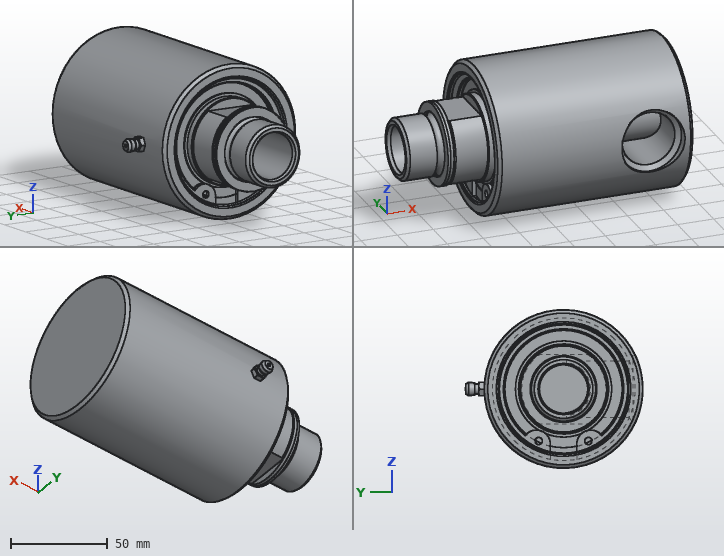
import cadquery as cq
import math

total_length = 149.4
housing_radius = 82.0 / 2
housing_start = 41.2
housing_chamfer = 1.8

thread_radius = 33.3 / 2
thread_chamfer = 1.5
thread_end = 16.5
thread_end_chamfer = 0.9
relief_radius = 15.1
relief_flare = 1.8

washer_start = 20.3
washer_end = 21.8
washer_radius = 44.5 / 2
washer_bore_radius = 34.5 / 2
shaft_radius = 44.7 / 2
flange_end = 23.8
undercut_radius = 21.8
undercut_length = 0.9
wrench_flat_width = 35.9

collar_start = 42.3
collar_radius = 23.3
collar_chamfer = 0.5

recess_mouth_radius = 34.8
recess_mouth_bevel = 0.5
recess_ledge_radius = 33.9
recess_lip_start = 42.1
recess_lip_end = 43.0
recess_lip_radius = 33.2
ring_groove_radius = 73.8 / 2
seal_face = 47.5
seal_outer_radius = 60.7 / 2
seal_lip_radius = 49.8 / 2
seal_lip_face = 46.6

ring_front = 45.1
ring_back = 47.2
ring_inner_radius = 61.1 / 2
ring_bevel = 0.6
lug_radius = 7.2
lug_offset = 14.0
lug_drop = 28.4
lug_hole_diameter = 3.7
lug_hole_offset = 12.8
lug_hole_drop = 26.9

inlet_diameter = 25.0
inlet_chamfer = 0.7
inlet_chamfer_length = 2.0
inlet_depth = 104.6
core_diameter = 27.6
port_x = 127.0
port_mouth_diameter = 35.0
port_diameter = 29.3
port_floor_y = -1.5
port_seat_y = -35.9
port_seat_depth = 2.1

nipple_x = 63.2
nipple_hex_width = 7.2
nipple_hex_top = 43.8
nipple_height = 9.9
nipple_tip = housing_radius + nipple_height
nipple_root = 37.4
nipple_stem_radius = 5.2 / 2
nipple_neck_top = 46.0
nipple_head_base_radius = 3.1
nipple_head_radius = 7.0 / 2
nipple_head_bulge_radius = 3.5
nipple_head_middle = 47.7
nipple_head_high = 49.0
nipple_ball_radius = 3.0 / 2
nipple_ball_height = 0.3
nipple_hex_chamfer = 0.5


def tube(start, end, outer_radius, inner_radius=0):
    """Cylinder or tube along X between two stations."""
    section = cq.Workplane("YZ", origin=(start, 0, 0)).circle(outer_radius)
    if inner_radius:
        section = section.circle(inner_radius)
    return section.extrude(end - start)


def make_housing():
    housing = tube(housing_start, total_length, housing_radius).faces("<X or >X").chamfer(housing_chamfer)
    recess = (
        cq.Workplane("XY")
        .moveTo(housing_start, 0)
        .lineTo(housing_start, recess_mouth_radius)
        .lineTo(housing_start + recess_mouth_bevel, recess_ledge_radius)
        .lineTo(recess_lip_start, recess_ledge_radius)
        .lineTo(recess_lip_end, recess_lip_radius)
        .lineTo(recess_lip_end, ring_groove_radius)
        .lineTo(ring_back, ring_groove_radius)
        .lineTo(ring_back, seal_outer_radius)
        .lineTo(seal_face, seal_outer_radius)
        .lineTo(seal_face, seal_lip_radius)
        .lineTo(seal_lip_face, seal_lip_radius)
        .lineTo(seal_lip_face, 0)
        .close()
        .revolve(360, (0, 0, 0), (1, 0, 0))
    )
    return housing.cut(recess)


def make_retaining_ring():
    thickness = ring_back - ring_front
    ring = tube(ring_front, ring_back, ring_groove_radius, ring_inner_radius)
    ring = ring.faces("<X").edges("%CIRCLE").edges(cq.selectors.RadiusNthSelector(0)).chamfer(ring_bevel)
    gap_half_width = lug_offset - lug_radius
    gap = cq.Workplane("XY").box(thickness, 2 * gap_half_width, housing_radius, centered=(False, True, False))
    ring = ring.cut(gap.translate((ring_front, 0, -housing_radius)))

    envelope = tube(ring_front, ring_back, ring_groove_radius)
    for side in (-1, 1):
        lug = (
            cq.Workplane("YZ", origin=(ring_front, side * lug_offset, -lug_drop))
            .circle(lug_radius)
            .extrude(thickness)
        )
        root = (
            cq.Workplane("YZ", origin=(ring_front, side * lug_offset, -lug_drop - lug_radius / 2))
            .rect(2 * lug_radius, lug_radius)
            .extrude(thickness)
        )
        ring = ring.union(lug.union(root).intersect(envelope))
        hole = (
            cq.Workplane("YZ", origin=(ring_front, side * lug_hole_offset, -lug_hole_drop))
            .circle(lug_hole_diameter / 2)
            .extrude(thickness)
        )
        ring = ring.cut(hole)
    return ring


def make_shaft():
    relief_start = thread_end + thread_end_chamfer
    relief_middle = (relief_start + washer_end) / 2
    shaft = (
        cq.Workplane("XY")
        .lineTo(0, thread_radius - thread_chamfer)
        .lineTo(thread_chamfer, thread_radius)
        .lineTo(thread_end, thread_radius)
        .lineTo(relief_start, thread_radius - thread_end_chamfer)
        .threePointArc((relief_middle, relief_radius), (washer_end, relief_radius + relief_flare))
        .lineTo(washer_end, shaft_radius)
        .lineTo(flange_end, shaft_radius)
        .lineTo(flange_end, undercut_radius)
        .lineTo(flange_end + undercut_length, shaft_radius)
        .lineTo(collar_start, shaft_radius)
        .lineTo(collar_start, collar_radius - collar_chamfer)
        .lineTo(collar_start + collar_chamfer, collar_radius)
        .lineTo(seal_face, collar_radius)
        .lineTo(seal_face, 0)
        .close()
        .revolve(360, (0, 0, 0), (1, 0, 0))
    )
    flat_length = collar_start - flange_end
    for side in (-1, 1):
        flat_center = (flange_end + flat_length / 2, 0, side * (wrench_flat_width / 2 + shaft_radius / 2))
        shaft = shaft.cut(cq.Workplane("XY").box(flat_length, 2 * shaft_radius, shaft_radius).translate(flat_center))
    return shaft.union(tube(washer_start, washer_end, washer_radius, washer_bore_radius))


def make_nipple():
    hex_corner_diameter = nipple_hex_width / math.cos(math.pi / 6)
    hex_height = nipple_hex_top - nipple_root
    base = cq.Workplane("XZ", origin=(nipple_x, nipple_root, 0))
    hexagon = base.polygon(6, hex_corner_diameter).extrude(-hex_height)
    rounding = base.circle(hex_corner_diameter / 2).extrude(-hex_height).faces(">Y").chamfer(nipple_hex_chamfer)
    hexagon = hexagon.intersect(rounding)

    head_top = nipple_tip - nipple_ball_height
    head = (
        cq.Workplane("XY", origin=(nipple_x, 0, 0))
        .moveTo(0, nipple_root)
        .lineTo(nipple_stem_radius, nipple_root)
        .lineTo(nipple_stem_radius, nipple_neck_top)
        .lineTo(nipple_head_base_radius, nipple_neck_top)
        .threePointArc((nipple_head_bulge_radius, nipple_head_middle), (nipple_head_radius, nipple_head_high))
        .lineTo(nipple_stem_radius, head_top)
        .lineTo(0, head_top)
        .close()
        .revolve(360, (0, 0, 0), (0, 1, 0))
    )
    ball = cq.Workplane("XY", origin=(nipple_x, nipple_tip - nipple_ball_radius, 0)).sphere(nipple_ball_radius)
    return hexagon.union(head).union(ball)


def make_inlet():
    mouth_radius = inlet_diameter / 2 + inlet_chamfer
    return (
        cq.Workplane("XY")
        .lineTo(0, mouth_radius)
        .lineTo(inlet_chamfer_length, inlet_diameter / 2)
        .lineTo(inlet_depth, inlet_diameter / 2)
        .lineTo(inlet_depth, 0)
        .close()
        .revolve(360, (0, 0, 0), (1, 0, 0))
    )


def make_port():
    """Counterbored side port that stops just short of the axis and leaves the cylindrical core."""
    port = (
        cq.Workplane("XY", origin=(port_x, 0, 0))
        .moveTo(0, port_floor_y)
        .lineTo(port_diameter / 2, port_floor_y)
        .lineTo(port_diameter / 2, port_seat_y + port_seat_depth)
        .lineTo(port_mouth_diameter / 2, port_seat_y)
        .lineTo(port_mouth_diameter / 2, -housing_radius)
        .lineTo(0, -housing_radius)
        .close()
        .revolve(360, (0, 0, 0), (0, 1, 0))
    )
    return port.cut(tube(inlet_depth, total_length, core_diameter / 2))


result = make_housing().union(make_retaining_ring()).union(make_shaft()).union(make_nipple()).cut(make_inlet()).cut(make_port())